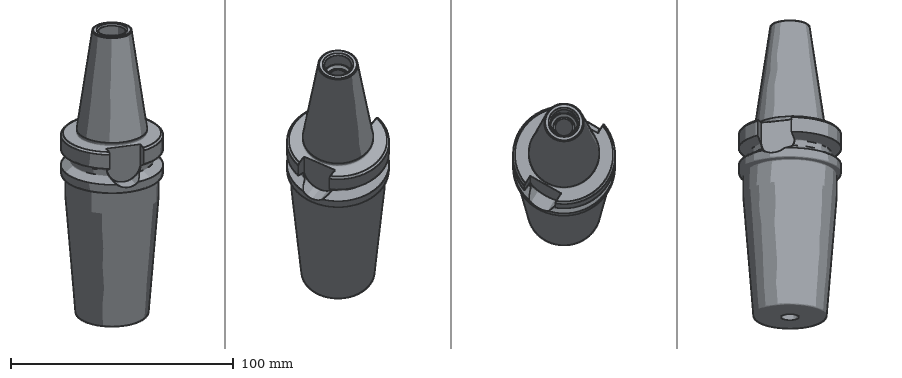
import cadquery as cq
import math

length = 138.4
flange_radius = 23.0

taper_large_radius = 15.9
taper_ratio = 7 / 24
gauge_z = 90.0
taper_small_radius = taper_large_radius - (length - gauge_z) * taper_ratio / 2
taper_tip_chamfer = 0.4

relief_radius = 15.6
relief_fillet = 0.5
relief_ramp_height = 1.0

flange_top_z = 88.0
flange_bottom_z = 68.0
flange_top_chamfer = 1.0
flange_bottom_fillet = 1.0
groove_middle_z = 76.4
groove_mouth_width = 7.8
groove_root_radius = 18.8
groove_root_fillet = 0.4
groove_flank_angle = 30.0
groove_flank_height = (flange_radius - groove_root_radius) * math.tan(math.radians(groove_flank_angle))
groove_mouth_bottom_z = groove_middle_z - groove_mouth_width / 2
groove_mouth_top_z = groove_middle_z + groove_mouth_width / 2
groove_root_bottom_z = groove_mouth_bottom_z + groove_flank_height
groove_root_top_z = groove_mouth_top_z - groove_flank_height

body_radius = 21.0
body_root_fillet = 0.7
body_cone_top_z = 57.5
nose_radius = 16.5
nose_fillet = 1.1

slot_width = 16.0
slot_floor_x = 16.3
slot_bottom_z = 70.7

bore_radius = 4.0
seat_radius = 4.8
pilot_radius = 6.1
pilot_depth = 4.7
undercut_radius = 6.4
undercut_ramp_height = 1.0
undercut_width = 2.1
mouth_radius = 6.9
mouth_depth = 0.7


def make_revolved_body():
    """Solid outer shape: taper, relief, grooved flange and body."""
    return (
        cq.Workplane("XZ")
        .polyline([
            (0, 0),
            (nose_radius, 0),
            (body_radius, body_cone_top_z),
            (body_radius, flange_bottom_z),
            (flange_radius, flange_bottom_z),
            (flange_radius, groove_mouth_bottom_z),
            (groove_root_radius, groove_root_bottom_z),
            (groove_root_radius, groove_root_top_z),
            (flange_radius, groove_mouth_top_z),
            (flange_radius, flange_top_z),
            (relief_radius, flange_top_z),
            (relief_radius, gauge_z - relief_ramp_height),
            (taper_large_radius, gauge_z),
            (taper_small_radius, length),
            (0, length),
        ])
        .close()
        .revolve(360, (0, 0, 0), (0, 1, 0))
    )


def make_bore():
    """Stepped bore cutter: mouth chamfer, pilot, undercut, conical seat and through hole."""
    pilot_top_z = length - mouth_depth
    pilot_bottom_z = length - pilot_depth
    seat_top_z = pilot_bottom_z - undercut_width
    seat_bottom_z = seat_top_z - (pilot_radius - seat_radius)
    return (
        cq.Workplane("XZ")
        .polyline([
            (0, 0),
            (bore_radius, 0),
            (bore_radius, seat_bottom_z),
            (seat_radius, seat_bottom_z),
            (pilot_radius, seat_top_z),
            (undercut_radius, seat_top_z),
            (undercut_radius, pilot_bottom_z - undercut_ramp_height),
            (pilot_radius, pilot_bottom_z),
            (pilot_radius, pilot_top_z),
            (mouth_radius, length),
            (0, length),
        ])
        .close()
        .revolve(360, (0, 0, 0), (0, 1, 0))
    )


def make_slot(side):
    """Drive slot cutter for one X side (side is +1 or -1), open at the flange top."""
    slot_radius = slot_width / 2
    round_center_z = slot_bottom_z + slot_radius
    cutter = (
        cq.Workplane("YZ")
        .moveTo(-slot_radius, flange_top_z)
        .lineTo(-slot_radius, round_center_z)
        .threePointArc((0, slot_bottom_z), (slot_radius, round_center_z))
        .lineTo(slot_radius, flange_top_z)
        .close()
        .extrude(flange_radius - slot_floor_x)
        .translate((slot_floor_x, 0, 0))
    )
    return cutter if side > 0 else cutter.mirror("YZ")


def ring_edge(body, radius, z):
    """Circular edge of the body with the given radius at the given height."""
    margin = 0.07
    reach = radius + margin
    box = cq.selectors.BoxSelector((-reach, -reach, z - margin), (reach, reach, z + margin), boundingbox=True)
    return body.edges(box).edges(cq.selectors.RadiusNthSelector(-1))


body = make_revolved_body()
body = body.faces(">Z").edges().chamfer(taper_tip_chamfer)
body = body.faces("<Z").edges().fillet(nose_fillet)
body = ring_edge(body, flange_radius, flange_top_z).chamfer(flange_top_chamfer)
body = ring_edge(body, flange_radius, flange_bottom_z).fillet(flange_bottom_fillet)
body = ring_edge(body, body_radius, flange_bottom_z).fillet(body_root_fillet)
body = ring_edge(body, relief_radius, flange_top_z).fillet(relief_fillet)
for z in (groove_root_bottom_z, groove_root_top_z):
    body = ring_edge(body, groove_root_radius, z).fillet(groove_root_fillet)
body = body.cut(make_bore())
for side in (-1, 1):
    body = body.cut(make_slot(side))
result = body